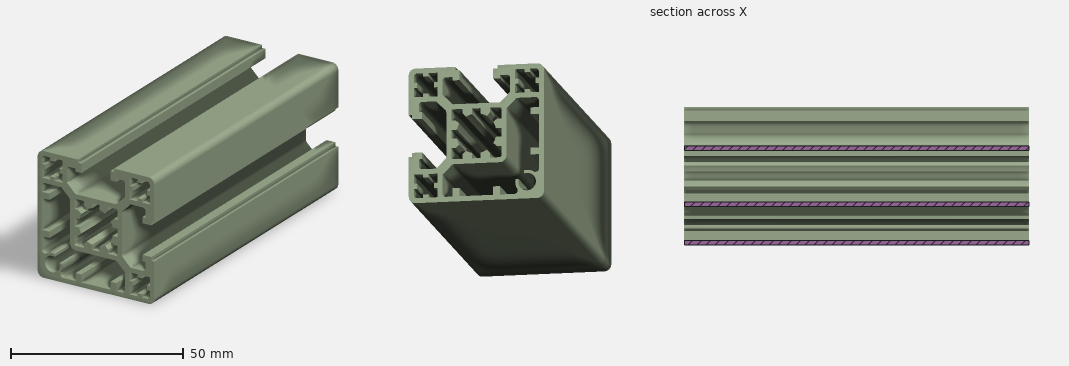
import cadquery as cq
import math

side = 40.0
length = 100.0
outer_radius = 2.0
wall = 1.5

half = side / 2
inner_face = half - wall
inner_radius = 1.0

core_outer = 8.9
core_inner = core_outer - wall
core_outer_radius = 2.0
core_inner_radius = 0.5
bore_radius = 5.9
rib_near = 1.3
rib_far = 4.1
rib_tip = 3.1
rib_shoulder = 6.1

slot_half = 10.0
slot_bevel = 3.0
bevel_radius = 1.0
slot_ceiling = 17.0
mouth_half = 5.0
lip_half = 7.0
lip_bottom = 16.0
step_half = 6.2
step_depth = 1.0

chamber_side = 7.0
chamber_centre = inner_face - chamber_side / 2
nub_width = 1.6
nub_height = 1.0

channel_radius = 2.6
channel_outer_radius = 3.5
channel_mouth_offset = 0.85
channel_block = 6.3
block_radius = 0.9

quarter_turns = (0, 90, 180, 270)


def section():
    """Sketch plane of the cross-section: local x is X, local y is Z."""
    return cq.Workplane("XZ")


def prism(points):
    return section().polyline(points).close().extrude(length / 2, both=True)


def box(x_min, x_max, z_min, z_max):
    return prism([(x_min, z_min), (x_max, z_min), (x_max, z_max), (x_min, z_max)])


def turned(body, angle):
    return body.rotate((0, 0, 0), (0, 1, 0), angle)


def cylinder(x, z, radius):
    return section().center(x, z).circle(radius).extrude(length / 2, both=True)


def round_edges(body, radius, places):
    """Fillet the lengthwise edge at each (x, z) place."""
    for x, z in places:
        body = body.edges(cq.NearestToPointSelector((x, 0, z))).fillet(radius)
    return body


def open_slot():
    """Void of the T-slot on the top side."""
    bevel_top = core_outer + slot_bevel
    bevel_end = slot_half - slot_bevel
    chamber = prism([
        (-slot_half, slot_ceiling),
        (-slot_half, bevel_top),
        (-bevel_end, core_outer),
        (bevel_end, core_outer),
        (slot_half, bevel_top),
        (slot_half, slot_ceiling),
    ])
    chamber = chamber.edges("|Y and >Z").fillet(inner_radius)
    chamber = chamber.edges("|Y and <Z").fillet(bevel_radius)
    lip_drop = box(-lip_half, lip_half, lip_bottom, slot_ceiling)
    mouth = box(-mouth_half, mouth_half, lip_bottom, half)
    step = box(-step_half, step_half, half - step_depth, half)
    return chamber.cut(lip_drop).union(mouth).union(step)


def core_void():
    """Square void of the core with two pointed ribs on each of its sides."""
    void = box(-core_inner, core_inner, -core_inner, core_inner)
    void = void.edges("|Y").fillet(core_inner_radius)

    def on_bore(x):
        return x, math.sqrt(bore_radius**2 - x**2)

    rib = (
        section()
        .moveTo(rib_near, core_inner)
        .lineTo(*on_bore(rib_near))
        .threePointArc(on_bore((rib_near + rib_tip) / 2), on_bore(rib_tip))
        .lineTo(rib_far, rib_shoulder)
        .lineTo(rib_far, core_inner)
        .close()
        .extrude(length / 2, both=True)
    )
    rib_pair = rib.union(rib.mirror("YZ"))
    for angle in quarter_turns:
        void = void.cut(turned(rib_pair, angle))
    return void


def corner_chamber():
    """Void of the chamber in the +X +Z corner, with a nub on each side."""
    reach = chamber_side / 2
    void = box(-reach, reach, -reach, reach)
    void = void.edges("|Y and >X and >Z").fillet(inner_radius)
    nub = box(-nub_width / 2, nub_width / 2, reach - nub_height, reach)
    for angle in quarter_turns:
        void = void.cut(turned(nub, angle))
    return void.translate((chamber_centre, 0, chamber_centre))


def screw_channel():
    """Material around the open round channel in the -X -Z corner."""
    centre = -chamber_centre
    block_edge = channel_block - inner_face
    body = box(-inner_face, block_edge, -inner_face, block_edge)
    body = body.union(cylinder(centre, centre, channel_outer_radius))
    mouth_start = centre + channel_mouth_offset
    mouth_end = centre + channel_block
    mouth = box(mouth_start, mouth_end, mouth_start, mouth_end)
    return body.cut(mouth).cut(cylinder(centre, centre, channel_radius))


def closed_chamber():
    """L-shaped void behind the closed -X and -Z walls."""
    bevel_start = core_outer + slot_bevel
    bevel_end = slot_half - slot_bevel
    void = prism([
        (-inner_face, slot_half),
        (-bevel_start, slot_half),
        (-core_outer, bevel_end),
        (-core_outer, -core_outer),
        (bevel_end, -core_outer),
        (slot_half, -bevel_start),
        (slot_half, -inner_face),
        (-inner_face, -inner_face),
    ])
    void = round_edges(void, inner_radius, ((-inner_face, slot_half), (slot_half, -inner_face)))
    void = round_edges(void, bevel_radius, ((-core_outer, bevel_end), (bevel_end, -core_outer)))
    void = round_edges(void, core_outer_radius, ((-core_outer, -core_outer),))
    for near in (-lip_half, mouth_half):
        far = near + lip_half - mouth_half
        void = void.cut(box(-inner_face, -lip_bottom, near, far))
        void = void.cut(box(near, far, -inner_face, -lip_bottom))
    void = void.cut(screw_channel())
    block_edge = channel_block - inner_face
    return round_edges(void, block_radius, ((-inner_face, block_edge), (block_edge, -inner_face)))


result = box(-half, half, -half, half).edges("|Y").fillet(outer_radius)
result = result.cut(core_void()).cut(closed_chamber())
for angle in (0, 90):
    result = result.cut(turned(open_slot(), angle))
for angle in (-90, 0, 90):
    result = result.cut(turned(corner_chamber(), angle))